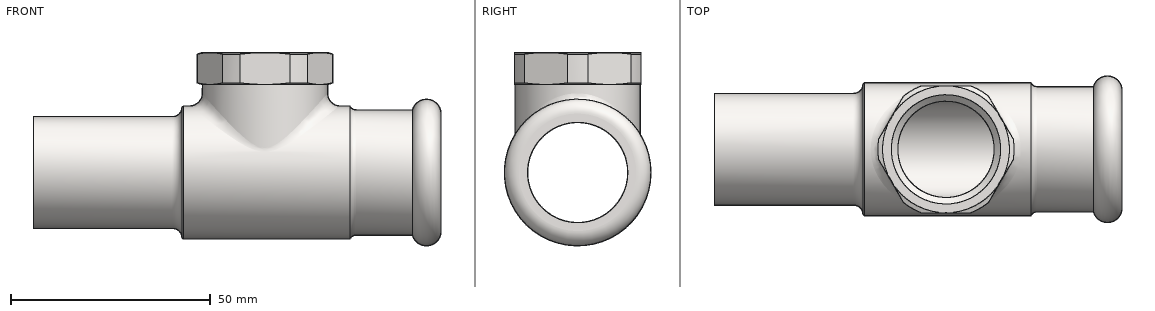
import cadquery as cq
import math

length = 102.0
bore_dia = 25.0
spigot_dia = 28.0
body_dia = 33.4
socket_dia = 31.4
bead_dia = 36.7
bead_tube_radius = 3.7

body_start = 37.1
body_end = 79.2
spigot_fillet = 2.2
socket_fillet = 1.7
body_chamfer = (body_dia - spigot_dia) / 2 - spigot_fillet

branch_x = 57.9
branch_top = 30.0
branch_dia = 31.4
branch_bore_dia = 24.1
mouth_dia = 27.3
branch_fillet = 3.1

hex_across_flats = 31.7
hex_corner_dia = 34.1
hex_height = 8.0
hex_chamfer_height = 0.4
hex_chamfer_dia = 31.7
flat_turn = 30


def run_outside():
    """Spigot, body, socket and the bead at the socket's mouth, as one turned shape."""
    spigot_radius = spigot_dia / 2
    body_radius = body_dia / 2
    socket_radius = socket_dia / 2
    bead_x = length - bead_tube_radius
    bead_ring_radius = bead_dia / 2 - bead_tube_radius
    bead_start = bead_x - math.sqrt(bead_tube_radius**2 - (socket_radius - bead_ring_radius) ** 2)
    fillet_mid = spigot_fillet * math.sqrt(0.5)

    socket_step = body_radius - socket_radius
    sweep = math.acos(1 - socket_step / socket_fillet)
    socket_start = body_end + socket_fillet * math.sin(sweep)
    socket_fillet_mid = (
        socket_start - socket_fillet * math.sin(sweep / 2),
        socket_radius + socket_fillet * (1 - math.cos(sweep / 2)),
    )
    profile = (
        cq.Workplane("XY")
        .lineTo(0, spigot_radius)
        .lineTo(body_start - spigot_fillet, spigot_radius)
        .threePointArc(
            (body_start - spigot_fillet + fillet_mid, spigot_radius + spigot_fillet - fillet_mid),
            (body_start, spigot_radius + spigot_fillet),
        )
        .lineTo(body_start + body_chamfer, body_radius)
        .lineTo(body_end, body_radius)
        .threePointArc(socket_fillet_mid, (socket_start, socket_radius))
        .lineTo(bead_start, socket_radius)
        .threePointArc((bead_x, bead_dia / 2), (length, bead_ring_radius))
        .lineTo(length, 0)
        .close()
    )
    return profile.revolve(360, (0, 0, 0), (1, 0, 0))


def branch_neck():
    """Round neck of the branch, from the run axis up to its top."""
    return cq.Workplane("XY").center(branch_x, 0).circle(branch_dia / 2).extrude(branch_top)


def hex_collar():
    """Hexagon with two flats facing +Y and -Y, its corners turned down and edges bevelled."""
    bottom = branch_top - hex_height
    corner_radius = hex_corner_dia / 2
    edge_radius = hex_chamfer_dia / 2
    hexagon = (
        cq.Workplane("XY", origin=(branch_x, 0, bottom))
        .polygon(6, hex_across_flats, circumscribed=True)
        .extrude(hex_height)
        .rotate((branch_x, 0, 0), (branch_x, 0, 1), flat_turn)
    )
    turned = (
        cq.Workplane("XZ", origin=(branch_x, 0, 0))
        .moveTo(0, bottom)
        .lineTo(edge_radius, bottom)
        .lineTo(corner_radius, bottom + hex_chamfer_height)
        .lineTo(corner_radius, branch_top - hex_chamfer_height)
        .lineTo(edge_radius, branch_top)
        .lineTo(0, branch_top)
        .close()
        .revolve(360, (0, 0, 0), (0, 1, 0))
    )
    return hexagon.intersect(turned)


def branch_hole():
    """Branch bore down to the run bore, with a 45 degree countersink at its mouth."""
    countersink_depth = (mouth_dia - branch_bore_dia) / 2
    return (
        cq.Workplane("XZ", origin=(branch_x, 0, 0))
        .lineTo(branch_bore_dia / 2, 0)
        .lineTo(branch_bore_dia / 2, branch_top - countersink_depth)
        .lineTo(mouth_dia / 2, branch_top)
        .lineTo(0, branch_top)
        .close()
        .revolve(360, (0, 0, 0), (0, 1, 0))
    )


saddle_zone = cq.selectors.BoxSelector(
    (branch_x - branch_dia / 2, -branch_dia / 2, 0),
    (branch_x + branch_dia / 2, branch_dia / 2, body_dia / 2),
)
tee = run_outside().union(branch_neck()).edges(saddle_zone).edges("%BSPLINE").fillet(branch_fillet)

run_bore = cq.Workplane("YZ").circle(bore_dia / 2).extrude(length)

result = tee.union(hex_collar()).cut(run_bore).cut(branch_hole())